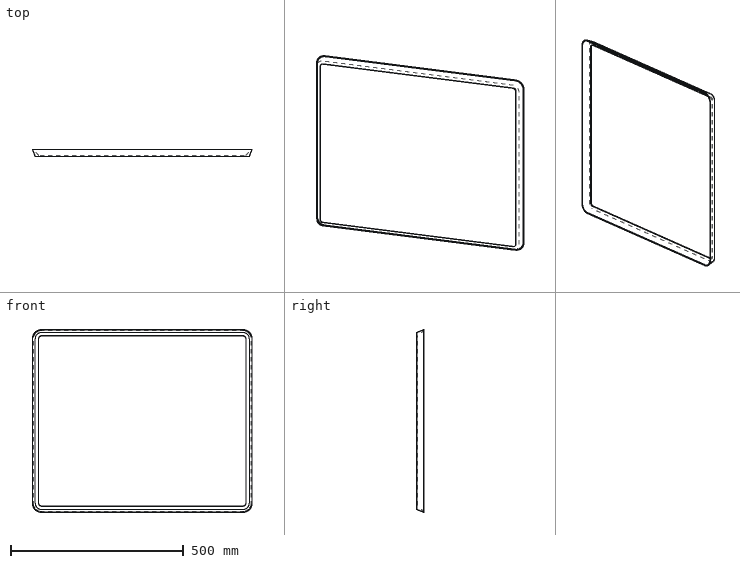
import cadquery as cq
import math

width = 636.05
height = 529.05
depth = 21.0
rear_corner_radius = 27.0

flare = 8.5
front_face_width = 10.0
inner_lip_depth = 3.0
rear_edge_width = 3.0

window_inset = flare + front_face_width
bevel_depth = depth - inner_lip_depth
outer_taper = math.degrees(math.atan2(flare, depth))
bevel_taper = math.degrees(math.atan2(window_inset - rear_edge_width, bevel_depth))


def rounded_block(inset, block_depth, taper):
    """Rounded block running forward (-Y) from the rear plane, inset from the rear outline."""
    return (
        cq.Workplane("XZ")
        .sketch()
        .rect(width - 2 * inset, height - 2 * inset)
        .vertices()
        .fillet(rear_corner_radius - inset)
        .finalize()
        .extrude(block_depth, taper=taper)
    )


def flared_body():
    """Solid outer shape, widest at the rear."""
    return rounded_block(0, depth, outer_taper)


def inner_bevel():
    """Sloped cavity from the rear edge down to the lip behind the front face."""
    return rounded_block(rear_edge_width, bevel_depth, bevel_taper)


def window():
    """Straight opening bounded by the inner lip."""
    return rounded_block(window_inset, depth, 0)


result = flared_body().cut(inner_bevel()).cut(window())